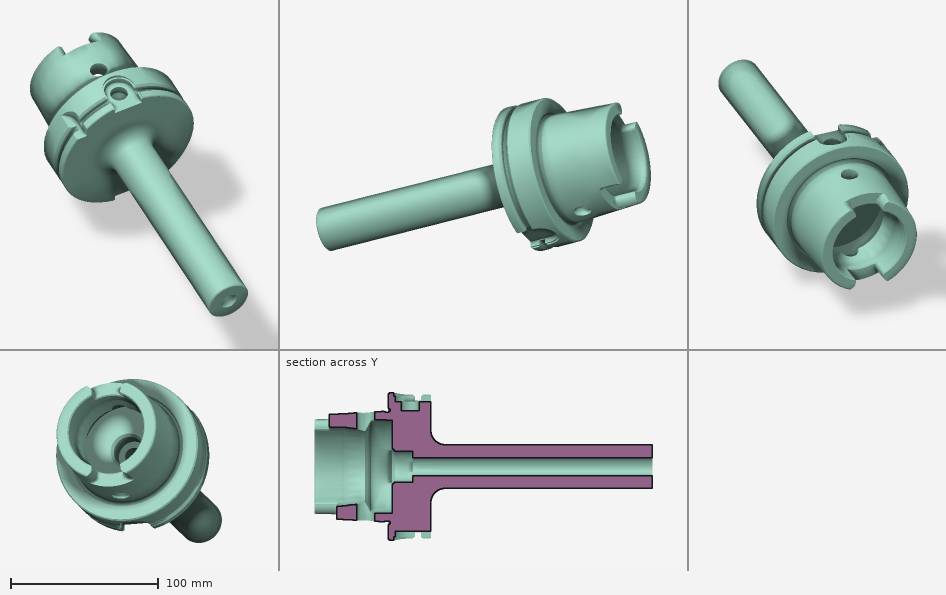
import cadquery as cq
import math

length = 229.0
taper_end = 47.0
flange_start = 50.0
flange_end = 79.0
groove_start = 66.6
groove_end = 73.5

nose_radius = 35.3
taper_radius = 37.5
neck_radius = 37.0
flange_diameter = 100.0
flange_radius = flange_diameter / 2
groove_radius = 45.8
shank_diameter = 30.0
shank_radius = shank_diameter / 2

nose_fillet = 1.49
flange_chamfer = 1.0
flange_back_chamfer = 0.57
groove_chamfer = 1.4
shank_chamfer = 0.7
shank_blend = 9.5
face_recess_radius = 39.8
face_recess_depth = 1.4
neck_drop_length = 1.4

bore_radius = 26.5
bore_chamfer = 0.8
bore_cone_start = 20.0
bore_lip = 34.4
bore_lip_radius = 24.7
chamber_start = 38.2
chamber_radius = 31.4
bore_floor = 52.7
socket_mouth_radius = 12.1
socket_radius = 10.3
socket_depth = 13.7
coolant_radius = 6.0

slot_half_width = 10.0
slot_shoulder_height = 32.0
slot_shoulder_radius = 5.3
slot_floor_fillet = 1.49
upper_slot_depth = 9.8
lower_slot_depth = 15.0

keyway_center = 65.0
keyway_radius = 10.0
keyway_floor = 44.0
keyway_rim = 1.1
keyway_rim_floor = 47.9
notch_floor = 31.4
notch_wall = 31.5
cross_hole_radius = 6.0
cross_hole_center = 34.8
blind_hole_depth = 6.0

clearance = 2.3


def turned_body():
    recess_bottom = flange_start + face_recess_depth
    recess_corner = face_recess_radius - face_recess_depth - neck_radius
    outline = (
        cq.Workplane("XY")
        .moveTo(0, 0)
        .lineTo(0, nose_radius - nose_fillet)
        .radiusArc((nose_fillet, nose_radius), nose_fillet)
        .lineTo(taper_end, taper_radius)
        .lineTo(taper_end + neck_drop_length, neck_radius)
        .lineTo(recess_bottom - recess_corner, neck_radius)
        .radiusArc((recess_bottom, face_recess_radius - face_recess_depth), -recess_corner)
        .lineTo(flange_start, face_recess_radius)
        .lineTo(flange_start, flange_radius - flange_chamfer)
        .lineTo(flange_start + flange_chamfer, flange_radius)
        .lineTo(groove_start, flange_radius)
        .lineTo(groove_start + groove_chamfer, flange_radius - groove_chamfer)
        .lineTo(groove_start + groove_chamfer, groove_radius)
        .lineTo(groove_end - groove_chamfer, groove_radius)
        .lineTo(groove_end - groove_chamfer, flange_radius - groove_chamfer)
        .lineTo(groove_end, flange_radius)
        .lineTo(flange_end - flange_back_chamfer, flange_radius)
        .lineTo(flange_end, flange_radius - flange_back_chamfer)
        .lineTo(flange_end, shank_radius + shank_blend)
        .radiusArc((flange_end + shank_blend, shank_radius), -shank_blend)
        .lineTo(length - shank_chamfer, shank_radius)
        .lineTo(length, shank_radius - shank_chamfer)
        .lineTo(length, 0)
        .close()
    )
    return outline.revolve(360, (0, 0, 0), (1, 0, 0))


def axial_bore():
    socket_chamfer = socket_mouth_radius - socket_radius
    outline = (
        cq.Workplane("XY")
        .moveTo(0, 0)
        .lineTo(0, bore_radius)
        .lineTo(bore_cone_start, bore_radius)
        .lineTo(bore_lip, bore_lip_radius)
        .lineTo(chamber_start, chamber_radius)
        .lineTo(bore_floor, chamber_radius)
        .lineTo(bore_floor, socket_mouth_radius)
        .lineTo(bore_floor + socket_chamfer, socket_radius)
        .lineTo(bore_floor + socket_depth, socket_radius)
        .lineTo(bore_floor + socket_depth, coolant_radius)
        .lineTo(length, coolant_radius)
        .lineTo(length, 0)
        .close()
    )
    return outline.revolve(360, (0, 0, 0), (1, 0, 0))


def drive_slot(depth):
    """Slot on the +Z side whose walls roll over into flat shoulders."""
    shoulder_y = slot_half_width + slot_shoulder_radius
    wall_top = slot_shoulder_height - slot_shoulder_radius
    top = taper_radius + clearance
    slot = (
        cq.Workplane("YZ")
        .moveTo(-slot_half_width, 0)
        .lineTo(-slot_half_width, wall_top)
        .radiusArc((-shoulder_y, slot_shoulder_height), -slot_shoulder_radius)
        .lineTo(-shoulder_y, top)
        .lineTo(shoulder_y, top)
        .lineTo(shoulder_y, slot_shoulder_height)
        .radiusArc((slot_half_width, wall_top), -slot_shoulder_radius)
        .lineTo(slot_half_width, 0)
        .close()
        .extrude(depth + clearance)
        .translate((-clearance, 0, 0))
    )
    return slot.faces(">X").edges().fillet(slot_floor_fillet)


def break_bore_mouth(body):
    """Chamfer every edge where the nose face and the drive slots meet the bore."""
    tolerance = 0.002

    def on_mouth(vertex):
        radius = math.hypot(vertex.Y, vertex.Z)
        return abs(radius - bore_radius) < tolerance and vertex.X < bore_cone_start - tolerance

    mouth = [edge for edge in body.edges().vals() if all(on_mouth(v) for v in edge.Vertices())]
    return body.newObject(mouth).chamfer(bore_chamfer)


def round_ended_slot(center_y, radius, floor):
    """Slot cut down to z = floor, round towards the nose and open at the back of the flange."""
    height = flange_radius + clearance - floor
    run = flange_end + clearance - keyway_center
    return (
        cq.Workplane("XY", origin=(keyway_center, center_y, floor))
        .moveTo(0, radius)
        .threePointArc((-radius, 0), (0, -radius))
        .lineTo(run, -radius)
        .lineTo(run, radius)
        .close()
        .extrude(height)
    )


def keyway():
    rim = round_ended_slot(0, keyway_radius + keyway_rim, keyway_rim_floor)
    return round_ended_slot(0, keyway_radius, keyway_floor).union(rim)


def upright_hole(center_x, bottom, top):
    return cq.Workplane("XY", origin=(center_x, 0, bottom)).circle(cross_hole_radius).extrude(top - bottom)


def turned_over(tool):
    return tool.rotate((0, 0, 0), (1, 0, 0), 180)


result = turned_body().cut(axial_bore())

result = result.cut(drive_slot(upper_slot_depth))
result = result.cut(turned_over(drive_slot(lower_slot_depth)))
result = break_bore_mouth(result)

result = result.cut(keyway())
result = result.cut(turned_over(keyway()))
result = result.cut(round_ended_slot(-notch_wall - keyway_radius, keyway_radius, notch_floor))

result = result.cut(upright_hole(cross_hole_center, -flange_radius, flange_radius))
result = result.cut(upright_hole(keyway_center, keyway_floor - blind_hole_depth, flange_radius))